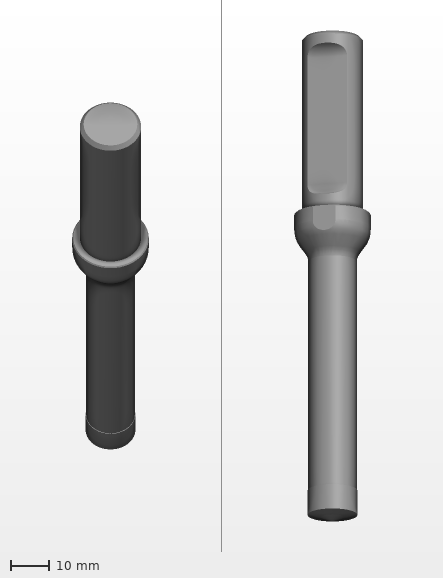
import cadquery as cq
import math


total_length = 130.8

tip_radius = 13.0 / 2
point_radius = 6.15 / 2
point_angle = 142.0
lip_angle = 159.0
tip_top_z = 8.3

neck_radius = 12.69 / 2
neck_top_z = 70.2

collar_radius = 10.0
collar_top_z = 83.0
collar_rim_height = 4.0
collar_chamfer = 0.3
collar_flat_y = 9.53
throat_fullness = 0.35
belly_fullness = 0.55

shank_radius = 16.0 / 2
shank_chamfer = 1.0
shank_flat_y = 6.0
shank_flat_end_margin = 3.5
shank_flat_end_radius = 3.5


def cone_height(radial_run, included_angle):
    """Height of a cone surface over a radial run."""
    return radial_run / math.tan(math.radians(included_angle / 2))


def make_tip():
    """Round tip with a shallow lip cone and a steeper centre point."""
    point_z = cone_height(point_radius, point_angle)
    lip_z = point_z + cone_height(tip_radius - point_radius, lip_angle)
    return (
        cq.Workplane("XZ")
        .moveTo(0, 0)
        .lineTo(point_radius, point_z)
        .lineTo(tip_radius, lip_z)
        .lineTo(tip_radius, tip_top_z)
        .lineTo(0, tip_top_z)
        .close()
        .revolve(360, (0, 0), (0, 1))
    )


def make_holder_blank():
    """Revolved neck, flared collar and shank, before the flats are cut."""
    rim_bottom_z = collar_top_z - collar_rim_height
    flare_height = rim_bottom_z - neck_top_z
    flare_curve = [
        (neck_radius, neck_top_z),
        (neck_radius, neck_top_z + throat_fullness * flare_height),
        (collar_radius, rim_bottom_z - belly_fullness * flare_height),
        (collar_radius, rim_bottom_z),
    ]
    return (
        cq.Workplane("XZ")
        .moveTo(0, tip_top_z)
        .lineTo(neck_radius, tip_top_z)
        .lineTo(neck_radius, neck_top_z)
        .bezier(flare_curve)
        .lineTo(collar_radius, collar_top_z - collar_chamfer)
        .lineTo(collar_radius - collar_chamfer, collar_top_z)
        .lineTo(shank_radius, collar_top_z)
        .lineTo(shank_radius, total_length - shank_chamfer)
        .lineTo(shank_radius - shank_chamfer, total_length)
        .lineTo(0, total_length)
        .close()
        .revolve(360, (0, 0), (0, 1))
    )


def make_collar_flat_cutter():
    """Block that trims the +Y side of the collar."""
    return cq.Workplane("XY").box(
        2 * collar_radius,
        collar_radius,
        collar_top_z - neck_top_z,
        centered=(True, False, False),
    ).translate((0, collar_flat_y, neck_top_z))


def make_shank_flat_cutter():
    """Bar across the +Y side of the shank whose inner edges are rounded."""
    bottom_z = collar_top_z + shank_flat_end_margin
    top_z = total_length - shank_flat_end_margin
    depth = shank_radius - shank_flat_y
    sweep = math.acos(1 - depth / shank_flat_end_radius)
    end_run = shank_flat_end_radius * math.sin(sweep)
    return (
        cq.Workplane("YZ")
        .moveTo(shank_radius, bottom_z)
        .radiusArc((shank_flat_y, bottom_z + end_run), shank_flat_end_radius)
        .lineTo(shank_flat_y, top_z - end_run)
        .radiusArc((shank_radius, top_z), shank_flat_end_radius)
        .close()
        .extrude(shank_radius, both=True)
    )


tip = make_tip()
holder = make_holder_blank().cut(make_collar_flat_cutter()).cut(make_shank_flat_cutter())

result = cq.Compound.makeCompound([tip.val(), holder.val()])